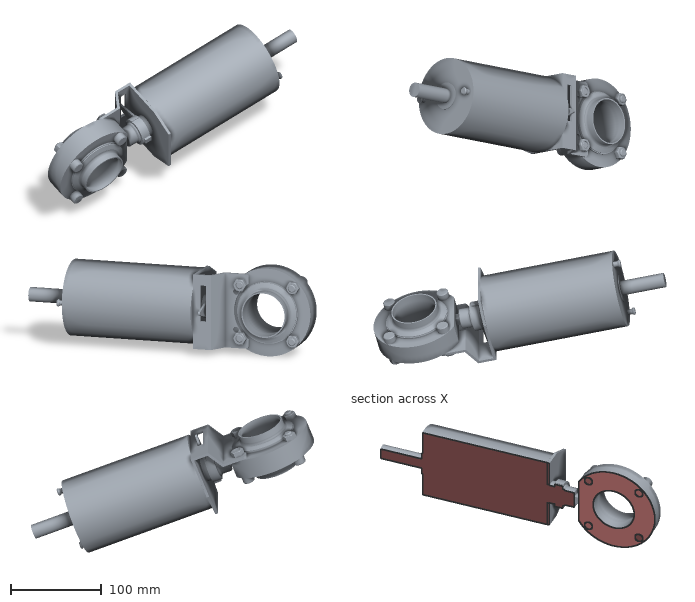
import cadquery as cq
import math


FLANGE_DIA = 99.0
FLANGE_HALF_WIDTH = 11.5
STEM_FLAT_Y = 42.0
PIPE_DIA = 51.5
BORE_DIA = 48.5
PIPE_HALF_LENGTH = 26.3
HUB_DIA = 70.0
HUB_RIM_X = 13.0
HUB_STEP = 1.0
HUB_NECK_DIA = 56.5
HUB_NECK_X = 16.5
HUB_FILLET_END_X = 18.7

BOLT_OFFSET = 30.2
BOLT_DIA = 8.5
BOLT_TIP_DIA = 6.5
BOLT_TIP_X = -19.7
HEAD_DIA = 13.0
HEAD_HEIGHT = 8.0
HEAD_CHAMFER = 0.82
NUT_CORNER_DIA = 14.8
NUT_FACE_DIA = 12.0
NUT_HEIGHT = 6.0
NUT_CHAMFER_ANGLE = 30

SHEET = 3.0
BRACKET_HALF_WIDTH = 42.0
SIDE_X = -33.0
LOWER_BEND_Y = 58.7
UPPER_BEND_Y = 48.0
FOOT_END_Y = 21.0
FOOT_CORNER_RADIUS = 3.3
FOOT_CUTOUT_RADIUS = 38.0
BASE_TIP_X = 42.5
BASE_TAPER_X = 15.8
BASE_TIP_HALF_WIDTH = 30.2
SLOT_Y_MIN = 64.5
SLOT_Y_MAX = 71.5
SLOT_Z_MIN = -10.5
SLOT_Z_MAX = 30.2
PIN_HOLE_DIA = 6.5
PIN_HOLE_Y = 35.8
PIN_HOLE_Z = 21.3

CYLINDER_DIA = 85.0
CYLINDER_START_Y = 79.5
CYLINDER_END_Y = 228.8
ROD_DIA = 16.0
ROD_END_Y = 328.2 - FLANGE_DIA / 2
BOSS_DIA = 30.0
BOSS_HEIGHT = 1.0
NECK_DIA = 26.0
COLLAR_DIA = 31.8
COLLAR_TOP_Y = 71.0
COLLAR_BOTTOM_Y = 60.7
SHOULDER_DIA = 25.0
SHOULDER_CONE_Y = 59.5
SHOULDER_END_Y = 58.0
SLEEVE_DIA = 22.0
SLEEVE_END_Y = 47.0
SLEEVE_CHAMFER = 0.5
STEM_WIDTH = 9.0
GROOVE_WIDTH = 2.0
GROOVE_OFFSET = 3.3
GROOVE_DEPTH = 1.3
TAB_END_X = 18.0
TAB_HEIGHT = 8.0
TAB_WIDTH = 6.5
POINTER_TIP_X = -42.5
POINTER_TIP_RADIUS = 2.3
POINTER_ROOT_X = -10.0
POINTER_ROOT_HALF_WIDTH = 10.8
POINTER_THICKNESS = 2.3
FITTING_OFFSET = 34.0
FITTING_STEM_DIA = 6.0
FITTING_STEM_HEIGHT = 4.5
FITTING_LIP_DIA = 6.5
FITTING_RIM_DIA = 8.5
FITTING_RIM_HEIGHT = 6.5
FITTING_HEIGHT = 8.0


def bolt_holes(length):
    """Four cutters along X for the bolt shanks, centred on the plane X = 0."""
    corners = [(y, z) for y in (-BOLT_OFFSET, BOLT_OFFSET) for z in (-BOLT_OFFSET, BOLT_OFFSET)]
    plane = cq.Workplane("YZ").pushPoints(corners)
    return plane.circle(BOLT_DIA / 2).extrude(length / 2, both=True)


def make_valve():
    """Flange, hubs and pipe ends as one turned body with a straight bore."""
    pipe_r = PIPE_DIA / 2
    hub_r = HUB_DIA / 2
    neck_r = HUB_NECK_DIA / 2
    bore_r = BORE_DIA / 2
    fillet_bulge = 1 - math.sqrt(0.5)
    fillet_mid_x = HUB_NECK_X + (HUB_FILLET_END_X - HUB_NECK_X) * fillet_bulge
    fillet_mid_r = pipe_r + (neck_r - pipe_r) * fillet_bulge
    half = (
        cq.Workplane("XY")
        .moveTo(0, bore_r)
        .lineTo(PIPE_HALF_LENGTH, bore_r)
        .lineTo(PIPE_HALF_LENGTH, pipe_r)
        .lineTo(HUB_FILLET_END_X, pipe_r)
        .threePointArc((fillet_mid_x, fillet_mid_r), (HUB_NECK_X, neck_r))
        .lineTo(HUB_RIM_X + HUB_STEP, hub_r - HUB_STEP)
        .lineTo(HUB_RIM_X, hub_r - HUB_STEP)
        .lineTo(HUB_RIM_X, hub_r)
        .lineTo(FLANGE_HALF_WIDTH, hub_r)
        .lineTo(FLANGE_HALF_WIDTH, FLANGE_DIA / 2)
        .lineTo(0, FLANGE_DIA / 2)
        .close()
        .revolve(360, (0, 0, 0), (1, 0, 0))
    )
    body = half.union(half.mirror("YZ"))
    beyond_flat = cq.Workplane("XY").box(
        2 * FLANGE_HALF_WIDTH, FLANGE_DIA, FLANGE_DIA, centered=(True, False, True)
    ).translate((0, STEM_FLAT_Y, 0))
    return body.cut(beyond_flat).cut(bolt_holes(2 * FLANGE_HALF_WIDTH))


def make_bolt(y, z, nut_seat_x):
    """Screw and nut along X; the nut bears on the face at nut_seat_x."""
    shank = (
        cq.Workplane("YZ", origin=(BOLT_TIP_X, 0, 0))
        .circle(BOLT_DIA / 2)
        .extrude(FLANGE_HALF_WIDTH - BOLT_TIP_X)
        .faces("<X")
        .chamfer((BOLT_DIA - BOLT_TIP_DIA) / 2)
    )
    head = (
        cq.Workplane("YZ", origin=(FLANGE_HALF_WIDTH, 0, 0))
        .circle(HEAD_DIA / 2)
        .extrude(HEAD_HEIGHT)
        .faces(">X")
        .chamfer(HEAD_CHAMFER)
    )
    hexagon = cq.Workplane("YZ", origin=(nut_seat_x, 0, 0)).polygon(6, NUT_CORNER_DIA).extrude(-NUT_HEIGHT)
    corner_cut = (NUT_CORNER_DIA - NUT_FACE_DIA) / 2
    chamfer_length = corner_cut * math.tan(math.radians(NUT_CHAMFER_ANGLE))
    envelope = (
        cq.Workplane("YZ", origin=(nut_seat_x, 0, 0))
        .circle(NUT_CORNER_DIA / 2)
        .extrude(-NUT_HEIGHT)
        .faces("<X")
        .edges()
        .chamfer(chamfer_length, corner_cut)
    )
    nut = hexagon.intersect(envelope)
    nut = nut.cut(cq.Workplane("YZ").circle(BOLT_DIA / 2).extrude(2 * BOLT_TIP_X))
    return shank.union(head).union(nut).translate((0, y, z))


def make_bracket():
    """Bent sheet from the cylinder end to the flange face."""
    foot_inner_x = -FLANGE_HALF_WIDTH
    foot_outer_x = foot_inner_x - SHEET
    bend_slope = math.atan2(LOWER_BEND_Y - UPPER_BEND_Y, foot_outer_x - SIDE_X)
    bend_offset = SHEET * math.tan((math.pi / 2 - bend_slope) / 2)
    side_inner_x = SIDE_X + SHEET
    base_y = CYLINDER_START_Y - SHEET
    section = [
        (BASE_TIP_X, CYLINDER_START_Y),
        (SIDE_X, CYLINDER_START_Y),
        (SIDE_X, LOWER_BEND_Y),
        (foot_outer_x, UPPER_BEND_Y),
        (foot_outer_x, FOOT_END_Y),
        (foot_inner_x, FOOT_END_Y),
        (foot_inner_x, UPPER_BEND_Y + bend_offset),
        (side_inner_x, LOWER_BEND_Y + bend_offset),
        (side_inner_x, base_y),
        (BASE_TIP_X, base_y),
    ]
    sheet = cq.Workplane("XY").polyline(section).close().extrude(BRACKET_HALF_WIDTH, both=True)

    outline = [
        (SIDE_X, -BRACKET_HALF_WIDTH),
        (BASE_TAPER_X, -BRACKET_HALF_WIDTH),
        (BASE_TIP_X, -BASE_TIP_HALF_WIDTH),
        (BASE_TIP_X, BASE_TIP_HALF_WIDTH),
        (BASE_TAPER_X, BRACKET_HALF_WIDTH),
        (SIDE_X, BRACKET_HALF_WIDTH),
    ]
    sheet = sheet.intersect(cq.Workplane("XZ").polyline(outline).close().extrude(-CYLINDER_START_Y))
    sheet = sheet.cut(cq.Workplane("XZ").circle(NECK_DIA / 2).extrude(-CYLINDER_START_Y))

    slot = cq.Workplane("XY").box(SHEET, SLOT_Y_MAX - SLOT_Y_MIN, SLOT_Z_MAX - SLOT_Z_MIN, centered=False)
    sheet = sheet.cut(slot.translate((SIDE_X, SLOT_Y_MIN, SLOT_Z_MIN)))

    sheet = sheet.edges("|X").edges("<Y").fillet(FOOT_CORNER_RADIUS)
    hub_arc = cq.Workplane("YZ").circle(FOOT_CUTOUT_RADIUS).extrude(foot_outer_x)
    pin_holes = (
        cq.Workplane("YZ")
        .pushPoints([(PIN_HOLE_Y, PIN_HOLE_Z), (PIN_HOLE_Y, -PIN_HOLE_Z)])
        .circle(PIN_HOLE_DIA / 2)
        .extrude(foot_outer_x)
    )
    return sheet.cut(hub_arc).cut(pin_holes).cut(bolt_holes(-2 * foot_outer_x))


def turned(profile):
    """Revolve (radius, y) points about the Y axis."""
    return cq.Workplane("XY").polyline(profile).close().revolve(360, (0, 0, 0), (0, 1, 0))


def make_pointer():
    """Flat tapered pointer with a rounded tip."""
    tip_centre_x = POINTER_TIP_X + POINTER_TIP_RADIUS
    return (
        cq.Workplane("XZ", origin=(0, COLLAR_TOP_Y, 0))
        .moveTo(POINTER_ROOT_X, -POINTER_ROOT_HALF_WIDTH)
        .lineTo(tip_centre_x, -POINTER_TIP_RADIUS)
        .threePointArc((POINTER_TIP_X, 0), (tip_centre_x, POINTER_TIP_RADIUS))
        .lineTo(POINTER_ROOT_X, POINTER_ROOT_HALF_WIDTH)
        .close()
        .extrude(POINTER_THICKNESS)
    )


def make_fitting(x):
    """Air fitting on the end of the cylinder."""
    profile = [
        (0, 0),
        (FITTING_STEM_DIA / 2, 0),
        (FITTING_STEM_DIA / 2, FITTING_STEM_HEIGHT),
        (FITTING_LIP_DIA / 2, FITTING_STEM_HEIGHT),
        (FITTING_RIM_DIA / 2, FITTING_RIM_HEIGHT),
        (FITTING_LIP_DIA / 2, FITTING_HEIGHT),
        (0, FITTING_HEIGHT),
    ]
    return turned(profile).translate((x, CYLINDER_END_Y, 0))


def make_actuator():
    """Cylinder with rod, coupling, pointer and fittings."""
    boss_y = CYLINDER_END_Y + BOSS_HEIGHT
    sleeve_r = SLEEVE_DIA / 2
    collar_r = COLLAR_DIA / 2
    body = turned([
        (0, SLEEVE_END_Y),
        (sleeve_r - SLEEVE_CHAMFER, SLEEVE_END_Y),
        (sleeve_r, SLEEVE_END_Y + SLEEVE_CHAMFER),
        (sleeve_r, SHOULDER_END_Y),
        (SHOULDER_DIA / 2, SHOULDER_CONE_Y),
        (SHOULDER_DIA / 2, COLLAR_BOTTOM_Y),
        (collar_r, COLLAR_BOTTOM_Y),
        (collar_r, COLLAR_TOP_Y),
        (NECK_DIA / 2, COLLAR_TOP_Y),
        (NECK_DIA / 2, CYLINDER_START_Y),
        (CYLINDER_DIA / 2, CYLINDER_START_Y),
        (CYLINDER_DIA / 2, CYLINDER_END_Y),
        (BOSS_DIA / 2, CYLINDER_END_Y),
        (BOSS_DIA / 2, boss_y),
        (ROD_DIA / 2, boss_y),
        (ROD_DIA / 2, ROD_END_Y),
        (0, ROD_END_Y),
    ])

    stem_length = SLEEVE_END_Y - STEM_FLAT_Y
    stem = cq.Workplane("XY").box(STEM_WIDTH, stem_length, STEM_WIDTH, centered=(True, False, True))
    body = body.union(stem.translate((0, STEM_FLAT_Y, 0)))

    collar_height = COLLAR_TOP_Y - COLLAR_BOTTOM_Y
    collar_mid_y = (COLLAR_TOP_Y + COLLAR_BOTTOM_Y) / 2
    top_groove = cq.Workplane("XY").box(GROOVE_WIDTH, collar_height, 2 * GROOVE_DEPTH)
    side_groove = cq.Workplane("XY").box(2 * GROOVE_DEPTH, collar_height, GROOVE_WIDTH)
    body = body.cut(top_groove.translate((-GROOVE_OFFSET, collar_mid_y, collar_r)))
    body = body.cut(side_groove.translate((-collar_r, collar_mid_y, GROOVE_OFFSET)))

    tab = cq.Workplane("XY").box(TAB_END_X, TAB_HEIGHT, TAB_WIDTH, centered=(False, False, True))
    body = body.union(tab.translate((0, COLLAR_TOP_Y - TAB_HEIGHT, 0)))
    body = body.union(make_pointer())
    for x in (-FITTING_OFFSET, FITTING_OFFSET):
        body = body.union(make_fitting(x))
    return body


valve = make_valve()
bracket = make_bracket()
actuator = make_actuator()

bolts = []
for y, nut_seat_x in ((BOLT_OFFSET, -FLANGE_HALF_WIDTH - SHEET), (-BOLT_OFFSET, -FLANGE_HALF_WIDTH)):
    for z in (-BOLT_OFFSET, BOLT_OFFSET):
        bolts.append(make_bolt(y, z, nut_seat_x).val())

result = cq.Compound.makeCompound([valve.val(), bracket.val(), actuator.val(), *bolts])